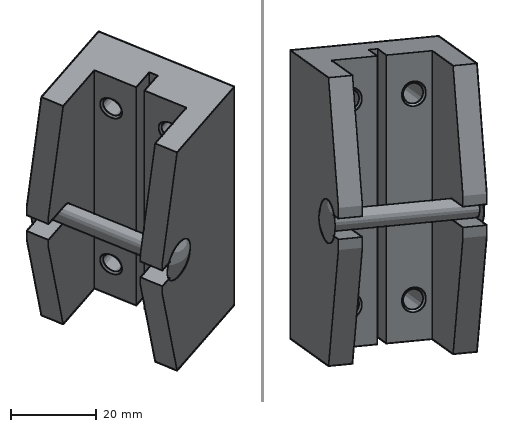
import cadquery as cq

height = 70.0
depth = 33.0
width = 37.0
inner_width = 25.05
web = 12.0
nose_height = 10.2
end_depth = 26.25

groove_width = 2.25
groove_depth = 6.0

hole_diameter = 5.0
hole_mouth_diameter = 6.0
hole_chamfer_angle = 90.0
hole_offset_x = 8.0
hole_offset_z = 25.0

pin_diameter = 5.05
pin_from_front = 7.5
head_diameter = 10.5
head_height = 1.5

back_y = depth / 2
front_y = -depth / 2
web_face_y = back_y - web
end_front_y = back_y - end_depth
pin_y = front_y + pin_from_front
pin_radius = pin_diameter / 2
head_radius = head_diameter / 2


def cut_opening(body):
    """Space between the side walls, in front of the web."""
    opening_depth = depth - web
    opening = cq.Workplane("XY").box(inner_width, opening_depth, height)
    return body.cut(opening.translate((0, front_y + opening_depth / 2, 0)))


def cut_groove(body):
    groove = cq.Workplane("XY").box(groove_width, groove_depth, height)
    return body.cut(groove.translate((0, web_face_y + groove_depth / 2, 0)))


def cut_mounting_holes(body):
    return (
        body.copyWorkplane(cq.Workplane("XZ", origin=(0, web_face_y, 0)))
        .rect(2 * hole_offset_x, 2 * hole_offset_z, forConstruction=True)
        .vertices()
        .cskHole(hole_diameter, hole_mouth_diameter, hole_chamfer_angle, depth=web)
    )


def cut_pin_slots(body):
    """Slots open at the front whose round ends fit the pin."""
    slot = (
        cq.Workplane("YZ", origin=(-width / 2, 0, 0))
        .moveTo(front_y, -pin_radius)
        .lineTo(pin_y, -pin_radius)
        .threePointArc((pin_y + pin_radius, 0), (pin_y, pin_radius))
        .lineTo(front_y, pin_radius)
        .close()
        .extrude(width)
    )
    return body.cut(slot)


def make_channel():
    body = (
        cq.Workplane("YZ", origin=(-width / 2, 0, 0))
        .polyline([
            (back_y, -height / 2),
            (end_front_y, -height / 2),
            (front_y, -nose_height / 2),
            (front_y, nose_height / 2),
            (end_front_y, height / 2),
            (back_y, height / 2),
        ])
        .close()
        .extrude(width)
    )
    body = cut_opening(body)
    body = cut_groove(body)
    body = cut_mounting_holes(body)
    return cut_pin_slots(body)


def make_pin():
    """Shaft with a spherical-cap head at each end, as one revolved profile."""
    face_x = width / 2
    tip_x = face_x + head_height
    cap_radius = (head_radius**2 + head_height**2) / (2 * head_height)
    mid_radius = head_radius / 2
    mid_x = tip_x - cap_radius + (cap_radius**2 - mid_radius**2) ** 0.5
    return (
        cq.Workplane("XY", origin=(0, pin_y, 0))
        .moveTo(-tip_x, 0)
        .threePointArc((-mid_x, mid_radius), (-face_x, head_radius))
        .lineTo(-face_x, pin_radius)
        .lineTo(face_x, pin_radius)
        .lineTo(face_x, head_radius)
        .threePointArc((mid_x, mid_radius), (tip_x, 0))
        .close()
        .revolve(360, (0, 0, 0), (1, 0, 0))
    )


channel = make_channel()
pin = make_pin()

result = cq.Compound.makeCompound([channel.val(), pin.val()])